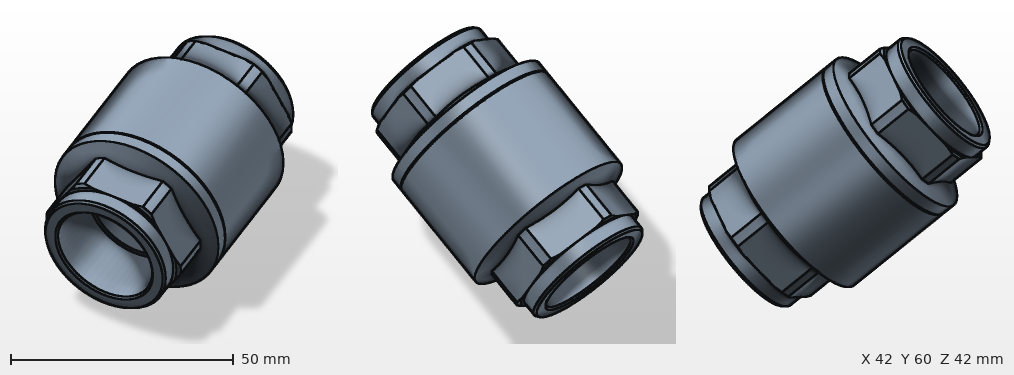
import cadquery as cq
import math

length = 60.0
body_diameter = 42.0
body_length = 30.0
shoulder_angle = 20.0

groove_diameter = 40.0
groove_width = 0.3
groove_center_y = -11.9

collar_diameter = 31.0
hex_across_flats = collar_diameter
hex_corner_diameter = 34.45
hex_end_diameter = 32.65
hex_chamfer_length = 0.4
collar_length = 4.0
collar_chamfer_length = 0.6
collar_chamfer_depth = 0.5

through_diameter = 22.0
socket_diameter = 24.1
socket_depth = 14.4
socket_chamfer = 0.5

half_length = length / 2
half_body = body_length / 2
hex_end = half_length - collar_length


def revolve_profile(points):
    """Revolve a closed (radius, y) outline about the Y axis."""
    return cq.Workplane("XY").polyline(points).close().revolve(360, (0, 0, 0), (0, 1, 0))


def cylinder(diameter, start_y, end_y):
    radius = diameter / 2
    return revolve_profile([(0, start_y), (radius, start_y), (radius, end_y), (0, end_y)])


def make_body():
    """Barrel with conical shoulders running in to the collar diameter."""
    radius = body_diameter / 2
    neck_radius = collar_diameter / 2
    shoulder_length = (radius - neck_radius) * math.tan(math.radians(shoulder_angle))
    neck_y = half_body + shoulder_length
    return revolve_profile([
        (0, -neck_y),
        (neck_radius, -neck_y),
        (radius, -half_body),
        (radius, half_body),
        (neck_radius, neck_y),
        (0, neck_y),
    ])


def make_hexagons():
    """Hexagonal bar with rounded corners and chamfered ends, flats facing +Z and -Z."""
    across_corners = hex_across_flats / math.cos(math.pi / 6)
    prism = cq.Workplane("XZ").polygon(6, across_corners).extrude(hex_end, both=True)
    corner_radius = hex_corner_diameter / 2
    end_radius = hex_end_diameter / 2
    chamfer_y = hex_end - hex_chamfer_length
    envelope = revolve_profile([
        (0, -hex_end),
        (end_radius, -hex_end),
        (corner_radius, -chamfer_y),
        (corner_radius, chamfer_y),
        (end_radius, hex_end),
        (0, hex_end),
    ])
    return prism.intersect(envelope)


def make_collars():
    """Round bar whose two chamfered ends form the collars."""
    radius = collar_diameter / 2
    end_radius = radius - collar_chamfer_depth
    chamfer_y = half_length - collar_chamfer_length
    return revolve_profile([
        (0, -half_length),
        (end_radius, -half_length),
        (radius, -chamfer_y),
        (radius, chamfer_y),
        (end_radius, half_length),
        (0, half_length),
    ])


def make_groove():
    start_y = groove_center_y - groove_width / 2
    end_y = groove_center_y + groove_width / 2
    outer = cylinder(body_diameter, start_y, end_y)
    return outer.cut(cylinder(groove_diameter, start_y, end_y))


def make_bore():
    """Through bore with a wider, chamfered socket at each end."""
    through_radius = through_diameter / 2
    socket_radius = socket_diameter / 2
    mouth_radius = socket_radius + socket_chamfer
    socket_floor = half_length - socket_depth
    half_outline = [
        (through_radius, socket_floor),
        (socket_radius, socket_floor),
        (socket_radius, half_length - socket_chamfer),
        (mouth_radius, half_length),
        (0, half_length),
    ]
    mirrored = [(radius, -y) for radius, y in reversed(half_outline)]
    return revolve_profile(half_outline + mirrored)


outside = make_body().union(make_hexagons()).union(make_collars())
result = outside.cut(make_groove()).cut(make_bore())